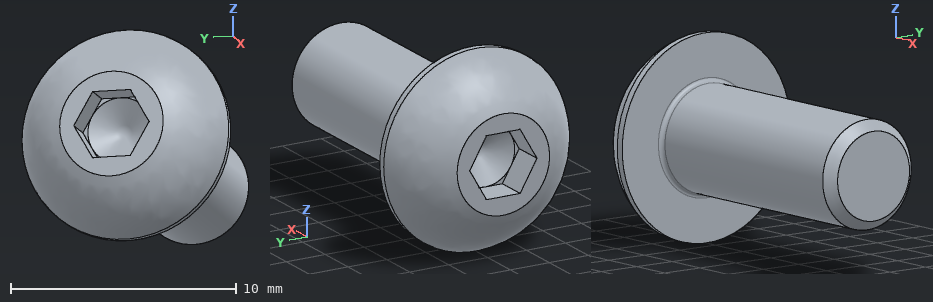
import cadquery as cq
import math

total_length = 14.75
head_diameter = 9.5
head_height = 2.75
rim_thickness = 0.35
face_diameter = head_diameter / 2
dome_bulge = 0.35

shank_diameter = 5.0
neck_radius = 0.2
tip_chamfer = 0.47

socket_across_flats = 3.0
socket_depth = 1.56
socket_cone_half_angle = 60

head_radius = head_diameter / 2
face_radius = face_diameter / 2
shank_radius = shank_diameter / 2


def screw_body():
    """Revolve the half profile of the domed head and chamfered shank."""
    dome_length = head_height - rim_thickness
    dome_rise = head_radius - face_radius
    chord = math.hypot(dome_length, dome_rise)
    dome_middle = (
        dome_length / 2 - dome_bulge * dome_rise / chord,
        (face_radius + head_radius) / 2 + dome_bulge * dome_length / chord,
    )
    neck_offset = neck_radius * (1 - math.sqrt(0.5))
    profile = (
        cq.Workplane("XY")
        .lineTo(0, face_radius)
        .threePointArc(dome_middle, (dome_length, head_radius))
        .lineTo(head_height, head_radius)
        .lineTo(head_height, shank_radius + neck_radius)
        .threePointArc(
            (head_height + neck_offset, shank_radius + neck_offset),
            (head_height + neck_radius, shank_radius),
        )
        .lineTo(total_length - tip_chamfer, shank_radius)
        .lineTo(total_length, shank_radius - tip_chamfer)
        .lineTo(total_length, 0)
        .close()
    )
    return profile.revolve(360, (0, 0, 0), (1, 0, 0))


def hex_socket():
    """Hexagonal recess with corners on the Y axis and a conical bottom."""
    corner_diameter = socket_across_flats / math.cos(math.radians(30))
    hexagon = cq.Workplane("YZ").polygon(6, corner_diameter).extrude(socket_depth)
    cone_radius = socket_across_flats / 2
    cone_depth = cone_radius / math.tan(math.radians(socket_cone_half_angle))
    cone = (
        cq.Workplane("XY")
        .moveTo(socket_depth, 0)
        .lineTo(socket_depth, cone_radius)
        .lineTo(socket_depth + cone_depth, 0)
        .close()
        .revolve(360, (0, 0, 0), (1, 0, 0))
    )
    return hexagon.union(cone)


result = screw_body().cut(hex_socket())